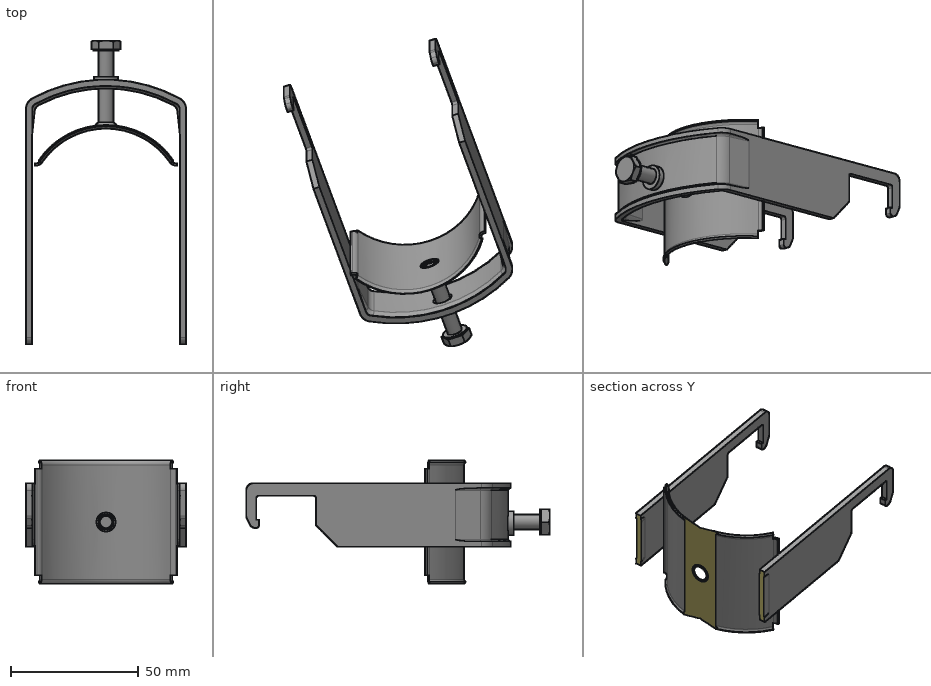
import cadquery as cq
import math


overall_length = 119.2
bracket_width = 63.0

strip_thickness = 2.5
strip_top = 15.3
strip_bottom = -9.8
crown_y = 104.0
crown_radius = 60.2
bend_radius = 5.0
half_width = bracket_width / 2

swage_depth = 1.1
swage_top = 12.4
swage_bottom = -6.7
swage_corner_radius = 1.0
swage_bend_radius = 5.5
swage_start_y = 91.9
swage_end_y = 82.0

hook_outer_radius = 2.9
slot_near_y = 4.0
slot_far_y = 27.4
slot_top = 10.3
slot_corner_radius = 1.0
leg_chamfer = 8.5
lip_y = 5.1
lip_top = 1.0
lip_corner_z = -1.3
hook_bottom = -2.4
hook_bottom_y = 3.6
toe_y = 1.5
toe_z = -1.2
toe_top = 1.9
toe_blend_radius = 2.4
toe_arc_middle = (2.4, -2.0)
lip_arc_middle = (4.6, -2.1)

collar_diameter = 9.5
collar_bore = 5.5
bore_mouth_diameter = 7.4
collar_top_y = 105.0
collar_z = -0.5

shank_diameter = 6.0
head_flats = 10.0
head_height = 3.5
washer_face_height = 0.6
tip_y = 85.5
tip_chamfer = 0.6

sheet_thickness = 1.0
saddle_y = 85.6
saddle_radius = 31.4
saddle_half_angle = 56.0
saddle_height = 48.5
rim_bend_radius = 1.3
rim_bend_angle = 55.0
wing_height = 42.0
wing_tip_x = 27.9
wing_bend_radius = 1.4
neck_top_y = 87.1
neck_top_diameter = 6.2
countersink_diameter = 7.5

margin = 7.2
clearance = 1.2
corner_passes = 20


def along_y(diameter, y_start, y_end, z=0.0):
    """Cylinder parallel to Y."""
    plane = cq.Plane(origin=(0, y_start, z), xDir=(1, 0, 0), normal=(0, 1, 0))
    return cq.Workplane(plane).circle(diameter / 2).extrude(y_end - y_start)


def cone_along_y(y_start, diameter_start, y_end, diameter_end, z=0.0):
    """Truncated cone parallel to Y."""
    outline = [(0, y_start), (diameter_start / 2, y_start), (diameter_end / 2, y_end), (0, y_end)]
    sketch = cq.Workplane("XY", origin=(0, 0, z)).polyline(outline).close()
    return sketch.revolve(360, (0, 0), (0, 1))


def arched_form(inset, corner_radius, z_low, z_high, y_end=0.0, side_slope=0.0, pivot_y=0.0):
    """Solid under the arched back, inset from the outer surface.

    A side slope tilts the legs about pivot_y, narrowing the form toward the back.
    """
    radius = crown_radius - inset
    center_y = crown_y - crown_radius

    def side_x(y):
        return half_width - inset - side_slope * (y - pivot_y)

    corner_y = crown_y
    for _ in range(corner_passes):
        corner_y = center_y + math.sqrt(radius**2 - side_x(corner_y)**2)

    return (
        cq.Workplane("XY", origin=(0, 0, z_low))
        .moveTo(-side_x(y_end), y_end)
        .lineTo(-side_x(corner_y), corner_y)
        .threePointArc((0, center_y + radius), (side_x(corner_y), corner_y))
        .lineTo(side_x(y_end), y_end)
        .close()
        .extrude(z_high - z_low)
        .edges("|Z")
        .edges(">Y")
        .fillet(corner_radius)
    )


def swage_surround(surface_inset, bend, corner_radius):
    """Everything outside one face of the swage, with its inward edges rounded."""
    z_low = swage_bottom - corner_radius
    z_high = swage_top + corner_radius
    plug_end_y = swage_end_y - margin
    slope = swage_depth / (swage_start_y - swage_end_y)
    plug_inset = surface_inset + swage_depth
    plug = arched_form(plug_inset, bend, z_low, z_high, plug_end_y, slope, swage_start_y)
    outer_half = half_width + margin
    surround = (
        cq.Workplane("XY", origin=(0, 0, z_low))
        .moveTo(-outer_half, plug_end_y)
        .lineTo(-outer_half, crown_y + margin)
        .lineTo(outer_half, crown_y + margin)
        .lineTo(outer_half, plug_end_y)
        .close()
        .extrude(z_high - z_low)
        .cut(plug)
    )
    near_plug = cq.selectors.BoxSelector(
        (-half_width - clearance, plug_end_y + clearance, z_low - clearance),
        (half_width + clearance, crown_y + clearance, z_high + clearance),
    )
    return surround.faces("<Z or >Z").edges(near_plug).fillet(corner_radius)


def leg_side_profile():
    """Side outline of the legs and back, extruded across the full width."""
    return (
        cq.Workplane("YZ", origin=(-half_width, 0, 0))
        .moveTo(0, strip_top)
        .lineTo(0, toe_top)
        .lineTo(toe_y, toe_z)
        .threePointArc(toe_arc_middle, (hook_bottom_y, hook_bottom))
        .threePointArc(lip_arc_middle, (lip_y, lip_corner_z))
        .lineTo(lip_y, lip_top)
        .lineTo(slot_near_y, lip_top)
        .lineTo(slot_near_y, slot_top)
        .lineTo(slot_far_y, slot_top)
        .lineTo(slot_far_y, strip_bottom + leg_chamfer)
        .lineTo(slot_far_y + leg_chamfer, strip_bottom)
        .lineTo(crown_y, strip_bottom)
        .lineTo(crown_y, strip_top)
        .close()
        .extrude(bracket_width)
    )


def x_edge_at(y, z):
    """Selector for the edge parallel to X that passes through (0, y, z)."""
    reach = 0.06
    return cq.selectors.BoxSelector((-1.2, y - reach, z - reach), (1.2, y + reach, z + reach))


def make_bracket():
    side = leg_side_profile()
    side = side.edges(x_edge_at(0, strip_top)).fillet(hook_outer_radius)
    side = side.edges(x_edge_at(0, toe_top)).fillet(toe_blend_radius)
    for slot_y in (slot_near_y, slot_far_y):
        side = side.edges(x_edge_at(slot_y, slot_top)).fillet(slot_corner_radius)

    outer_form = arched_form(0, bend_radius, strip_bottom, strip_top)
    inner_bend = bend_radius - strip_thickness
    inner_form = arched_form(strip_thickness, inner_bend, strip_bottom, strip_top)
    bracket = outer_form.cut(inner_form)
    raised = swage_surround(
        strip_thickness, swage_bend_radius - strip_thickness, swage_corner_radius + strip_thickness
    )
    bracket = bracket.union(raised.intersect(outer_form))
    bracket = bracket.cut(swage_surround(0, swage_bend_radius, swage_corner_radius))
    bracket = bracket.intersect(side)

    collar_base_y = crown_y - swage_depth - strip_thickness / 2
    bracket = bracket.union(along_y(collar_diameter, collar_base_y, collar_top_y, collar_z))
    bore_start_y = crown_y - margin
    bracket = bracket.cut(along_y(collar_bore, bore_start_y, collar_top_y, collar_z))
    bracket = bracket.cut(along_y(shank_diameter, bore_start_y, collar_top_y))
    mouth_y = crown_y - swage_depth - strip_thickness
    mouth_end_y = mouth_y + (bore_mouth_diameter - collar_bore) / 2
    mouth_start_y = mouth_y - clearance
    mouth_start_diameter = bore_mouth_diameter + 2 * clearance
    return bracket.cut(
        cone_along_y(mouth_start_y, mouth_start_diameter, mouth_end_y, collar_bore, collar_z)
    )


def make_screw():
    washer_face_y = overall_length - head_height - washer_face_height
    hex_start_y = overall_length - head_height
    corner_diameter = head_flats / math.cos(math.radians(30))
    head_plane = cq.Plane(origin=(0, hex_start_y, 0), xDir=(1, 0, 0), normal=(0, 1, 0))
    head = cq.Workplane(head_plane).polygon(6, corner_diameter).extrude(head_height)
    cone_wide = head_flats + 2 * head_height / math.tan(math.radians(30))
    head = head.intersect(cone_along_y(hex_start_y, cone_wide, overall_length, head_flats))

    shank = along_y(shank_diameter, tip_y, washer_face_y).faces("<Y").chamfer(tip_chamfer)
    washer_face = along_y(head_flats, washer_face_y, hex_start_y)
    return shank.union(washer_face).union(head)


def saddle_sheet():
    """Curved sheet with flared rims: its section revolved about the saddle axis."""
    inner = saddle_radius - sheet_thickness
    inner_bend = rim_bend_radius + sheet_thickness
    bend_center = saddle_radius + rim_bend_radius
    half_height = saddle_height / 2
    bend_z = half_height - inner_bend * math.sin(math.radians(rim_bend_angle))

    def rim_point(radius, share, side):
        angle = math.radians(rim_bend_angle * share)
        return bend_center - radius * math.cos(angle), side * (bend_z + radius * math.sin(angle))

    section = (
        cq.Workplane("XZ")
        .moveTo(inner, -bend_z)
        .lineTo(inner, bend_z)
        .threePointArc(rim_point(inner_bend, 0.5, 1), rim_point(inner_bend, 1, 1))
        .lineTo(*rim_point(rim_bend_radius, 1, 1))
        .threePointArc(rim_point(rim_bend_radius, 0.5, 1), (saddle_radius, bend_z))
        .lineTo(saddle_radius, -bend_z)
        .threePointArc(rim_point(rim_bend_radius, 0.5, -1), rim_point(rim_bend_radius, 1, -1))
        .lineTo(*rim_point(inner_bend, 1, -1))
        .threePointArc(rim_point(inner_bend, 0.5, -1), (inner, -bend_z))
        .close()
    )
    sheet = section.revolve(2 * saddle_half_angle, (0, 0), (0, 1))
    first_angle = 90 - saddle_half_angle
    sheet = sheet.rotate((0, 0, 0), (0, 0, 1), first_angle)
    return sheet.translate((0, saddle_y - saddle_radius, 0))


def saddle_wing():
    """Bent strip that carries on from the sheet's +X end and turns outward."""
    angle = math.radians(saddle_half_angle)
    axis_y = saddle_y - saddle_radius
    outer_bend = wing_bend_radius + sheet_thickness
    bend_center_x = (saddle_radius + wing_bend_radius) * math.sin(angle)
    bend_center_y = axis_y + (saddle_radius + wing_bend_radius) * math.cos(angle)

    def bend_point(radius, share):
        turn = angle * share
        return bend_center_x - radius * math.sin(turn), bend_center_y - radius * math.cos(turn)

    return (
        cq.Workplane("XY", origin=(0, 0, -wing_height / 2))
        .moveTo(*bend_point(outer_bend, 1))
        .threePointArc(bend_point(outer_bend, 0.5), bend_point(outer_bend, 0))
        .lineTo(wing_tip_x, bend_center_y - outer_bend)
        .lineTo(wing_tip_x, bend_center_y - wing_bend_radius)
        .lineTo(*bend_point(wing_bend_radius, 0))
        .threePointArc(bend_point(wing_bend_radius, 0.5), bend_point(wing_bend_radius, 1))
        .close()
        .extrude(wing_height)
    )


def make_saddle():
    wing = saddle_wing()
    saddle = saddle_sheet().union(wing).union(wing.mirror("YZ"))

    neck_base_y = saddle_y - sheet_thickness / 2
    neck_base_diameter = neck_top_diameter + 2 * (neck_top_y - neck_base_y)
    saddle = saddle.union(cone_along_y(neck_base_y, neck_base_diameter, neck_top_y, neck_top_diameter))
    inner_y = saddle_y - sheet_thickness
    countersink_depth = (countersink_diameter - shank_diameter) / 2
    saddle = saddle.cut(along_y(shank_diameter, inner_y - clearance, neck_top_y))
    return saddle.cut(
        cone_along_y(inner_y, countersink_diameter, inner_y + countersink_depth, shank_diameter)
    )


def make_pressure_screw():
    """Screw with the saddle held on its tip: one moving body."""
    return make_saddle().union(make_screw())


bracket = make_bracket()
pressure_screw = make_pressure_screw()

result = cq.Compound.makeCompound([bracket.val(), pressure_screw.val()])